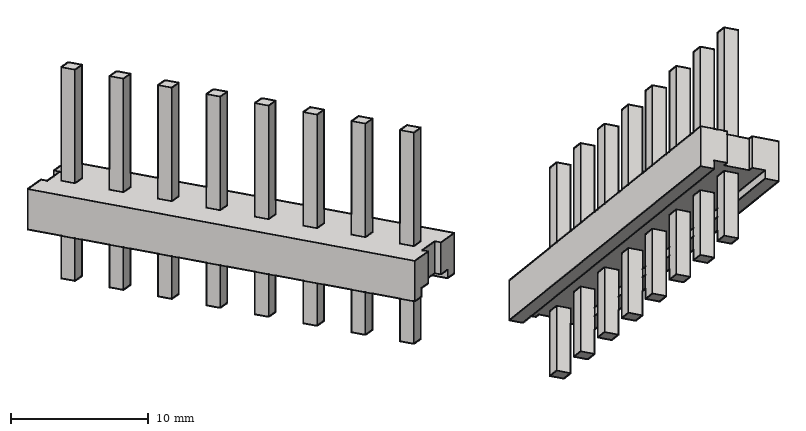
import cadquery as cq

pin_count = 8
pitch = 3.95
pin_width = 1.15
pin_above = 8.88
pin_below = 4.47

body_length = pin_count * pitch
body_width = 6.35
body_height = 3.17

end_notch_width = 2.03
end_notch_depth = 0.5
channel_width = 4.12
channel_depth = 0.65


def make_housing():
    """Bar with its underside at Z = 0, a channel below and a notch in each end."""
    on_base = (True, True, False)
    housing = cq.Workplane("XY").box(body_length, body_width, body_height, centered=on_base)
    channel = cq.Workplane("XY").box(body_length, channel_width, channel_depth, centered=on_base)
    end_notches = (
        cq.Workplane("XY")
        .pushPoints([(-body_length / 2, 0), (body_length / 2, 0)])
        .rect(2 * end_notch_depth, end_notch_width)
        .extrude(body_height)
    )
    return housing.cut(channel).cut(end_notches)


def make_pins():
    """Evenly spaced square pins that run through the full housing height."""
    return (
        cq.Workplane("XY", origin=(0, 0, -pin_below))
        .rarray(pitch, 0.32, pin_count, 1)
        .rect(pin_width, pin_width)
        .extrude(pin_below + body_height + pin_above)
    )


result = make_housing().union(make_pins())